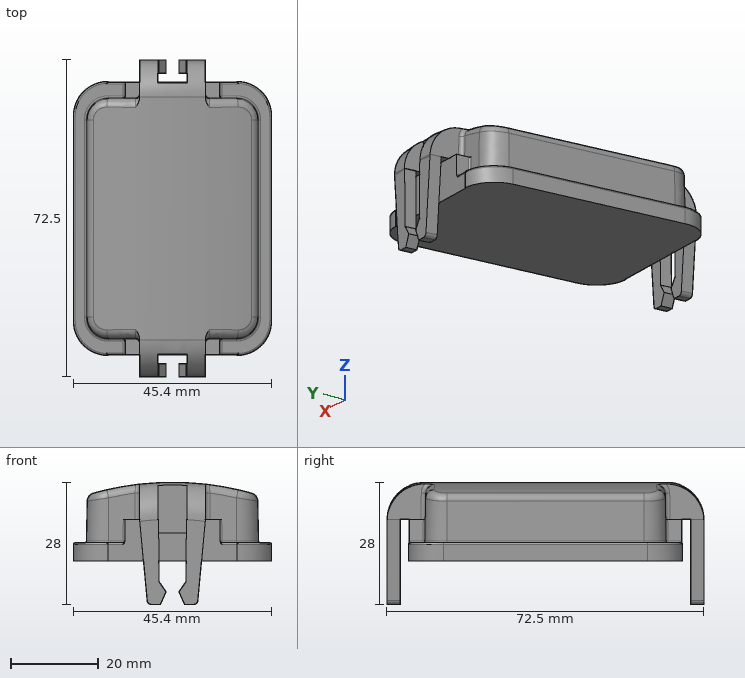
import cadquery as cq
import math

flange_width = 45.35
part_length = 72.45
height_above_base = 18.05
leg_depth = 9.9

flange_length = 62.65
flange_end_y = 31.15
flange_height = 4.2
flange_corner = 8.0
flat_half_width = flange_width / 2 - flange_corner

body_width = 39.4
body_length = 55.2
body_corner = 5.1
body_draft = 1.2
crown_radius = 66.65
crown_axis_z = height_above_base - crown_radius
top_edge_radius = 1.95
small_radius = 0.4

clip_base_z = 9.55
pad_top_width = 21.6
pad_bottom_width = 22.0
pad_root_y = 21.7

clip_width = 15.1
clip_slot_width = 6.7
clip_slot_back_y = 31.0
clip_slot_floor_z = 6.4
clip_root_y = 21.7
clip_stock_height = 2 * height_above_base
clip_round = height_above_base - clip_base_z
clip_fillet = 1.0
leg_thickness = 3.05
clip_end_y = part_length / 2

leg_top_outer = clip_width / 2
leg_top_inner = 3.2
leg_neck_inner = 3.05
leg_neck_z = -4.7
hook_tip_inner = 1.45
hook_tip_z = -7.0
leg_foot_inner = 2.75
leg_foot_outer = 5.7
foot_radius = 1.0

tolerance = 0.035


envelope_sweep = 60


def both_ends(shape):
    """Join a -Y end feature with its copy turned to the +Y end."""
    return shape.union(shape.rotate((0, 0, 0), (0, 0, 1), 180))


def make_envelope():
    """Crowned outer envelope: its Y ends roll down in quarter rounds."""
    arc_start_y = clip_end_y - clip_round
    arc_dip = clip_round * (1 - math.sqrt(0.5))
    low_z = -2 * leg_depth
    profile = (
        cq.Workplane("YZ")
        .moveTo(-clip_end_y, low_z)
        .lineTo(-clip_end_y, clip_base_z)
        .threePointArc(
            (arc_dip - clip_end_y, height_above_base - arc_dip),
            (-arc_start_y, height_above_base),
        )
        .lineTo(arc_start_y, height_above_base)
        .threePointArc(
            (clip_end_y - arc_dip, height_above_base - arc_dip),
            (clip_end_y, clip_base_z),
        )
        .lineTo(clip_end_y, low_z)
        .close()
    )
    axis_start = (0, crown_axis_z, 0)
    axis_end = (1, crown_axis_z, 0)
    envelope = profile.revolve(envelope_sweep, axis_start, axis_end)
    return envelope.rotate((0, 0, crown_axis_z), (0, 1, crown_axis_z), -envelope_sweep / 2)


def make_flange():
    """Rounded plate with flattened ends and a softened top rim."""
    plate = (
        cq.Workplane("XY")
        .rect(flange_width, flange_length)
        .extrude(flange_height)
        .edges("|Z")
        .fillet(flange_corner)
    )
    flat_depth = flange_length / 2 - flange_end_y
    flat = (
        cq.Workplane("XY")
        .rect(2 * flat_half_width, 2 * flat_depth)
        .extrude(flange_height)
        .translate((0, -flange_length / 2, 0))
    )
    return plate.cut(both_ends(flat)).faces(">Z").edges().fillet(small_radius)


def make_body(envelope):
    """Tapered cover with a crowned, rounded top."""
    outline = cq.Sketch().rect(body_width, body_length).vertices().fillet(body_corner)
    body = (
        cq.Workplane("XY", origin=(0, 0, flange_height))
        .placeSketch(outline)
        .extrude(height_above_base, taper=body_draft)
    )
    return body.intersect(envelope).faces(">Z").edges().fillet(top_edge_radius)


def add_shoulders(body, envelope):
    """Join the clip shoulders to the body with rounded inner corners."""
    stock = (
        cq.Workplane("XY", origin=(0, 0, clip_base_z))
        .rect(clip_width, clip_end_y - clip_root_y)
        .extrude(clip_stock_height)
        .translate((0, -(clip_end_y + clip_root_y) / 2, 0))
    )
    joined = body.union(both_ends(stock))

    def is_inner_corner(edge):
        box = edge.BoundingBox()
        on_side = abs(abs(edge.Center().x) - clip_width / 2) < tolerance and box.xlen < tolerance
        return on_side and max(abs(box.ymin), abs(box.ymax)) < body_length / 2

    rounded = joined.edges().filter(is_inner_corner).fillet(clip_fillet)
    return rounded.intersect(envelope)


def make_pad():
    """Block on the -Y flange end."""
    return (
        cq.Workplane("XZ", origin=(0, -pad_root_y, 0))
        .moveTo(-pad_bottom_width / 2, 0)
        .lineTo(pad_bottom_width / 2, 0)
        .lineTo(pad_top_width / 2, clip_base_z)
        .lineTo(-pad_top_width / 2, clip_base_z)
        .close()
        .extrude(flange_end_y - pad_root_y)
    )


def round_foot_of_body(solid):
    """Fillet the corner where the body and pads rise from the flange."""

    def is_foot(edge):
        box = edge.BoundingBox()
        center = edge.Center()
        starts_on_flange = abs(box.zmin - flange_height) < tolerance
        below_pad_top = box.zmax < clip_base_z + tolerance
        clear_of_side_rim = abs(center.x) < body_width / 2 + tolerance
        clear_of_end_rim = abs(center.y) < flange_end_y - 2 * small_radius
        return starts_on_flange and below_pad_top and clear_of_side_rim and clear_of_end_rim

    return solid.edges().filter(is_foot).fillet(small_radius)


def make_clip_slot():
    """Gap between the two legs, open to -Y."""
    return (
        cq.Workplane("XY", origin=(0, -clip_slot_back_y - clip_round, clip_slot_floor_z))
        .rect(clip_slot_width, 2 * clip_round)
        .extrude(clip_stock_height)
    )


def make_leg(side, envelope):
    """Hooked leg at -Y; side is the sign of its X position."""
    points = [
        (leg_top_inner, clip_base_z),
        (leg_neck_inner, leg_neck_z),
        (hook_tip_inner, hook_tip_z),
        (leg_foot_inner, -leg_depth),
        (leg_foot_outer, -leg_depth),
        (leg_top_outer, clip_base_z),
    ]
    leg = (
        cq.Workplane("XZ", origin=(0, leg_thickness - clip_end_y, 0))
        .polyline([(side * x, z) for x, z in points])
        .close()
        .extrude(leg_thickness)
    )
    foot_corner = (side * leg_foot_outer, leg_thickness / 2 - clip_end_y, -leg_depth)
    at_foot_corner = cq.selectors.NearestToPointSelector(foot_corner)
    leg = leg.edges("|Y").edges(at_foot_corner).fillet(foot_radius)
    return leg.intersect(envelope)


envelope = make_envelope()
cover = add_shoulders(make_body(envelope), envelope)
cover = cover.union(make_flange()).union(both_ends(make_pad())).clean()
cover = round_foot_of_body(cover)
cover = cover.cut(both_ends(make_clip_slot()))
for side in (-1, 1):
    cover = cover.union(both_ends(make_leg(side, envelope)))
result = cover